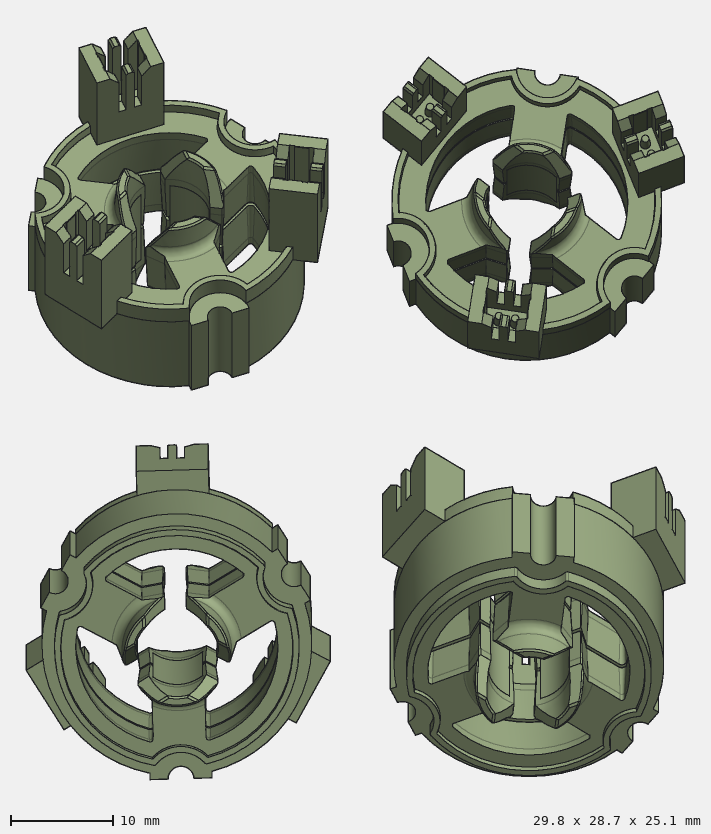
import cadquery as cq
import math


core_height = 10.0
core_radius = 13.2
bore_radius = 4.0
lobe_flat = 13.5
lobe_half_width = 3.05
notch_radius = 1.25

tooth_angles = [90, 210, 330]
slot_angles = [30, 150, 270]
tooth_to_slot_angle = 60

slot_radius = 9.9
tooth_half_width = 2.6
mouth_half_width = 1.05
tip_radius = 5.07
tip_corner = 0.15
shoe_back = 4.9
slot_corner_radius = 0.3

lining = 0.48
lining_gap = 0.5
lining_draft = 2.0
lining_depth = (core_height - lining_gap) / 2

floor_thickness = 1.0
rim_thickness = 0.6
rim_draft = 5.0
upper_height = 1.97
lower_height = 1.55
lower_radius = 12.0
lower_corner_radius = 0.3

shoe_height = 4.5
shoe_inner_top = 4.18
shoe_outer_foot = 5.37
shoe_outer_top = 5.15
shoe_root_fillet = 1.0
shoe_edge = 0.18
shoe_side_offset = 3.07

terminal_height = 10.6
terminal_width = 7.07
terminal_depth = 4.8
terminal_outside = 15.18
terminal_radius = terminal_outside - terminal_depth / 2
pocket_width = 4.4
pocket_depth = 2.45
pocket_floor = 2.98
pocket_rib = 0.105
pocket_rib_width = 1.43
wire_slot_floor = 5.1
wire_slot_span = 2.4
finger_width = 0.9
finger_bevel = 0.2
funnel_width = 4.3
funnel_height = 1.05
pin_spacing = 1.6
pin_foot_radius = 0.5
pin_top_radius = 0.35
pin_top = 5.07


def disk(radius, z0, z1):
    return cq.Workplane("XY", origin=(0, 0, z0)).circle(radius).extrude(z1 - z0)


def repeat(shape, angles):
    """Copies of a shape made on the +X axis, turned to the given angles."""
    return [shape.rotate((0, 0, 0), (0, 0, 1), angle) for angle in angles]


def cut_all(body, cutters):
    for cutter in cutters:
        body = body.cut(cutter)
    return body


def join_all(body, parts):
    for part in parts:
        body = body.union(part)
    return body


def slot_wire():
    """Outline of the slot on the +X axis, running through its mouth into the bore."""
    turn = math.radians(tooth_to_slot_angle)

    def tooth_side(along):
        """A point on the tooth's side face, at a distance along the tooth's axis."""
        return (along * math.cos(turn) + tooth_half_width * math.sin(turn),
                along * math.sin(turn) - tooth_half_width * math.cos(turn))

    mouth_start = bore_radius / 2
    root_along = (shoe_back - tooth_half_width * math.sin(turn)) / math.cos(turn)
    rim_along = math.sqrt(slot_radius ** 2 - tooth_half_width ** 2)
    half = [
        (mouth_start, mouth_half_width),
        (tip_radius, mouth_half_width),
        (tip_radius + tip_corner, mouth_half_width + tip_corner),
        tooth_side(root_along),
        tooth_side(rim_along),
    ]
    mirrored = [(x, -y) for x, y in reversed(half)]
    prism = (
        cq.Workplane("XY").polyline(half)
        .threePointArc((slot_radius, 0), mirrored[0])
        .polyline(mirrored[1:], includeCurrent=True)
        .close().extrude(slot_radius)
    )
    prism = prism.faces("%CYLINDER").edges("|Z").fillet(slot_corner_radius)
    return prism.faces("<Z").wires().val()


slot_outline = slot_wire()


def slot_prism(z0, z1, widening=0, draft=0):
    """A slot from z0 to z1; `widening` offsets its outline and `draft` opens it towards z1."""
    outline = slot_outline.translate(cq.Vector(0, 0, z0))
    work = cq.Workplane("XY", origin=(0, 0, z0)).add(outline).toPending()
    if widening:
        work = work.offset2D(widening, "intersection")
    return work.extrude(z1 - z0, taper=-draft)


def stator_core():
    body = disk(core_radius, 0, core_height)
    lobe = (
        cq.Workplane("XY").center(lobe_flat / 2, 0)
        .rect(lobe_flat, 2 * lobe_half_width).extrude(core_height)
    )
    notch = cq.Workplane("XY").center(lobe_flat, 0).circle(notch_radius).extrude(core_height)
    body = join_all(body, repeat(lobe, tooth_angles))
    body = cut_all(body, repeat(notch, tooth_angles))
    body = body.cut(disk(bore_radius, 0, core_height))
    return cut_all(body, repeat(slot_prism(0, core_height, lining), slot_angles))


def lobe_recess(radius, z0, z1):
    return cq.Workplane("XY", origin=(lobe_flat, 0, z0)).circle(radius).extrude(z1 - z0)


def plate(radius, height, corner_radius):
    """Ring plate with a raised rim that follows the outside and the lobe recesses."""
    body = disk(radius, 0, height)
    body = cut_all(body, repeat(lobe_recess(lobe_half_width, 0, height), tooth_angles))
    if corner_radius:
        body = body.edges("|Z").fillet(corner_radius)
    rim_height = height - floor_thickness
    foot_growth = rim_height * math.tan(math.radians(rim_draft))
    inside = (
        cq.Workplane("XY", origin=(0, 0, floor_thickness))
        .circle(radius - rim_thickness - foot_growth).extrude(rim_height, taper=-rim_draft)
    )
    wall = (
        cq.Workplane("XY", origin=(lobe_flat, 0, floor_thickness))
        .circle(lobe_half_width + rim_thickness + foot_growth).extrude(rim_height, taper=rim_draft)
    )
    return body.cut(cut_all(inside, repeat(wall, tooth_angles)))


def shoe_sector():
    """Turned blank of one shoe, reaching on both sides to the middle of the neighbouring slots."""
    fillet_radius = shoe_outer_foot + shoe_root_fillet
    fillet_top = floor_thickness + shoe_root_fillet
    blend = shoe_root_fillet * math.sqrt(0.5)
    sector = (
        cq.Workplane("XZ")
        .moveTo(bore_radius, 0)
        .lineTo(bore_radius, floor_thickness)
        .lineTo(shoe_inner_top, shoe_height)
        .lineTo(shoe_outer_top, shoe_height)
        .lineTo(shoe_outer_foot, fillet_top)
        .threePointArc((fillet_radius - blend, fillet_top - blend), (fillet_radius, floor_thickness))
        .lineTo(fillet_radius, 0)
        .close().revolve(2 * tooth_to_slot_angle, (0, 0, 0), (0, 1, 0))
    )
    middle = sector.val().Center()
    return sector.rotate((0, 0, 0), (0, 0, 1), -math.degrees(math.atan2(middle.y, middle.x)))


def shoe_gap():
    """Wedge on the +X axis whose faces are the sloping sides of two neighbouring shoes."""
    return (
        cq.Workplane("YZ")
        .polyline([(-mouth_half_width, floor_thickness), (mouth_half_width, floor_thickness),
                   (shoe_side_offset, shoe_height), (-shoe_side_offset, shoe_height)])
        .close().extrude(slot_radius)
    )


def shoe():
    """Pole shoe on the +X axis, bevelled around its top and down the edges of its outer face."""
    beside = [-tooth_to_slot_angle, tooth_to_slot_angle]
    body = cut_all(shoe_sector(), repeat(shoe_gap(), beside))
    outer_face = cq.selectors.NearestToPointSelector((shoe_outer_foot, 0, shoe_height * 2 / 3))
    bevelled = body.faces(outer_face).edges("not(<Z)").add(body.faces(">Z").edges())
    body = bevelled.chamfer(shoe_edge)
    return cut_all(body, repeat(slot_prism(0, shoe_height), beside))


def lining_wall():
    """Drafted lining of the slot on the +X axis, hanging below the plate."""
    wall = slot_prism(0, -lining_depth, lining).cut(slot_prism(0, -lining_depth, draft=lining_draft))
    return wall.cut(disk(bore_radius, -lining_depth, 0))


def insulator(radius, height, corner_radius=0):
    body = plate(radius, height, corner_radius)
    body = cut_all(body, repeat(slot_prism(0, height), slot_angles))
    body = body.cut(disk(bore_radius, 0, height))
    body = join_all(body, repeat(shoe(), tooth_angles))
    return join_all(body, repeat(lining_wall(), slot_angles))


def terminal():
    """Housing on the +X axis for a two-wire terminal; its wire slots run along X."""
    centre = cq.Workplane("XY").center(terminal_radius, 0)
    body = centre.rect(terminal_depth, terminal_width).extrude(terminal_height)

    profile = cq.Workplane("YZ", origin=(terminal_radius - terminal_depth / 2, 0, 0))
    span = wire_slot_span / 2
    slots = (
        profile
        .moveTo(-span, wire_slot_floor)
        .lineTo(span, wire_slot_floor)
        .lineTo(span, terminal_height - funnel_height)
        .lineTo(funnel_width / 2, terminal_height)
        .lineTo(-funnel_width / 2, terminal_height)
        .lineTo(-span, terminal_height - funnel_height)
        .close().extrude(terminal_depth)
    )
    finger = (
        profile.center(0, (wire_slot_floor + terminal_height) / 2)
        .rect(finger_width, terminal_height - wire_slot_floor).extrude(terminal_depth)
        .faces(">Z").edges("|X").chamfer(finger_bevel)
    )
    body = body.cut(slots).union(finger)

    pocket_height = terminal_height - pocket_floor
    base = cq.Workplane("XY", origin=(terminal_radius, 0, pocket_floor))
    pocket = base.rect(pocket_depth, pocket_width).extrude(pocket_height)
    for side in (-1, 1):
        rib = (
            base.center(0, side * (pocket_width - pocket_rib) / 2)
            .rect(pocket_rib_width, pocket_rib).extrude(pocket_height)
        )
        pocket = pocket.cut(rib)
    body = body.cut(pocket)

    pin_height = pin_top - pocket_floor
    pin_draft = math.degrees(math.atan((pin_foot_radius - pin_top_radius) / pin_height))
    pins = (
        base.pushPoints([(0, -pin_spacing / 2), (0, pin_spacing / 2)])
        .circle(pin_foot_radius).extrude(pin_height, taper=pin_draft)
    )
    return body.union(pins)


core = stator_core()

upper_insulator = insulator(core_radius, upper_height)
upper_insulator = join_all(upper_insulator, repeat(terminal(), slot_angles))
upper_insulator = upper_insulator.translate((0, 0, core_height))

lower_insulator = insulator(lower_radius, lower_height, lower_corner_radius).mirror("XY")

result = cq.Compound.makeCompound([
    core.solids().val(),
    upper_insulator.solids().val(),
    lower_insulator.solids().val(),
])